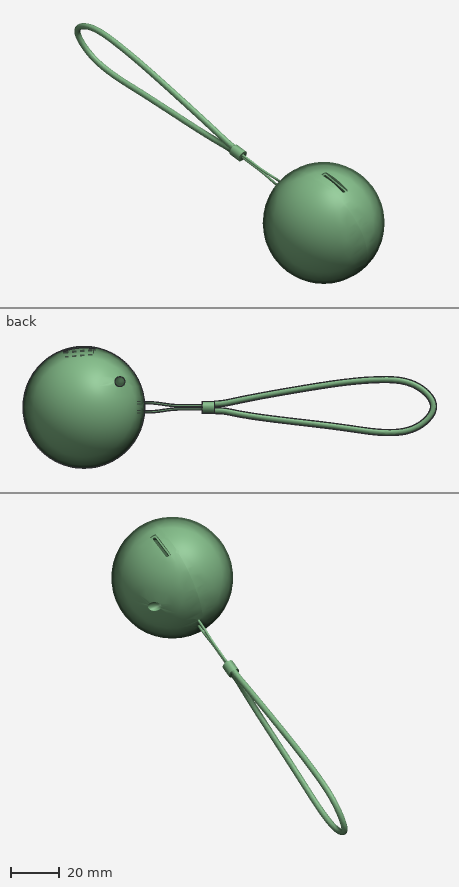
import cadquery as cq
import math

ball_diameter = 50.0
ball_radius = ball_diameter / 2

slot_length = 13.0
slot_width = 2.7
slot_corner_radius = 0.5
slot_step_depth = 1.5
slot_step_width = 0.7
slot_depth = 3.4
slot_x = 2.0
slot_y = 4.5

hole_diameter = 4.0
hole_x = -14.8
hole_z = 10.5
hole_floor_y = 11.9

overall_length = 169.5
lanyard_y = 2.0
loop_diameter = 2.5
loop_end_z = 1.4
crimp_diameter = 5.0
crimp_length = 5.1
crimp_left_x = -53.5
crimp_right_x = crimp_left_x + crimp_length
strand_diameter = 1.0
strand_crimp_z = 0.7
strand_ball_z = 1.9
strand_spread_x = -39.0
strand_level_x = -26.3
strand_tip_x = -22.0

loop_tip_x = ball_radius - overall_length + loop_diameter / 2


def lanyard_plane():
    """Plane of the lanyard, with local x along X and local y along Z."""
    return cq.Workplane("XZ", origin=(0, lanyard_y, 0))


def make_half(side):
    """Half ball; side is +1 for the half at positive Y and -1 for the other half."""
    keep = cq.Workplane("XY").box(ball_diameter, ball_radius, ball_diameter)
    keep = keep.translate((0, side * ball_radius / 2, 0))
    return cq.Workplane("XY").sphere(ball_radius).intersect(keep)


def make_slot_cutter():
    """Wide slot down to a step, then a narrower slot below it, square to the ball surface."""
    slot_z = math.sqrt(ball_radius**2 - slot_x**2 - slot_y**2)
    outward = cq.Vector(slot_x, slot_y, slot_z)
    along = cq.Vector(0, 1, 0).cross(outward)
    plane = cq.Plane(origin=outward, xDir=along, normal=outward)

    def rounded_block(inset, depth):
        block = cq.Workplane(plane).rect(slot_length - 2 * inset, slot_width - 2 * inset)
        block = block.extrude(depth, both=True)
        return block.edges(cq.selectors.ParallelDirSelector(outward)).fillet(slot_corner_radius)

    return rounded_block(0, slot_step_depth).union(rounded_block(slot_step_width, slot_depth))


def make_hole_cutter():
    cutter = cq.Workplane("XZ", origin=(hole_x, hole_floor_y, hole_z)).circle(hole_diameter / 2)
    return cutter.extrude(hole_floor_y - ball_radius)


def make_loop():
    """Thick teardrop cord whose two ends butt against the crimp."""
    path = lanyard_plane().spline(
        [
            (crimp_left_x, loop_end_z),
            (-61.0, 2.4),
            (-92.5, 8.1),
            (-122.0, 11.4),
            (-138.0, 7.8),
            (loop_tip_x, 0.3),
            (-138.0, -7.1),
            (-126.3, -10.3),
            (-108.9, -8.6),
            (-61.0, -2.2),
            (crimp_left_x, -loop_end_z),
        ],
        tangents=[(-1, 0), (1, 0)],
    )
    profile = cq.Workplane("YZ", origin=(crimp_left_x, lanyard_y, loop_end_z)).circle(loop_diameter / 2)
    return profile.sweep(path)


def make_crimp():
    profile = cq.Workplane("YZ", origin=(crimp_left_x, lanyard_y, 0)).circle(crimp_diameter / 2)
    return profile.extrude(crimp_length)


def make_strand(side):
    """Thin strand from the crimp into the ball; side is +1 for the upper and -1 for the lower one."""
    start_z = side * strand_crimp_z
    end_z = side * strand_ball_z
    path = (
        lanyard_plane()
        .moveTo(crimp_right_x, start_z)
        .lineTo(strand_spread_x, start_z)
        .spline([(strand_level_x, end_z)], tangents=[(1, 0), (1, 0)], includeCurrent=True)
        .lineTo(strand_tip_x, end_z)
    )
    profile = cq.Workplane("YZ", origin=(crimp_right_x, lanyard_y, start_z)).circle(strand_diameter / 2)
    return profile.sweep(path)


loop = make_loop()
crimp = make_crimp()
strands = [make_strand(side) for side in (1, -1)]

front_half = make_half(-1)
back_half = make_half(1).cut(make_slot_cutter()).cut(make_hole_cutter())
for strand in strands:
    back_half = back_half.cut(strand)

result = cq.Compound.makeCompound(
    [
        front_half.val(),
        back_half.val(),
        loop.val(),
        crimp.val(),
        *[strand.val() for strand in strands],
    ]
)